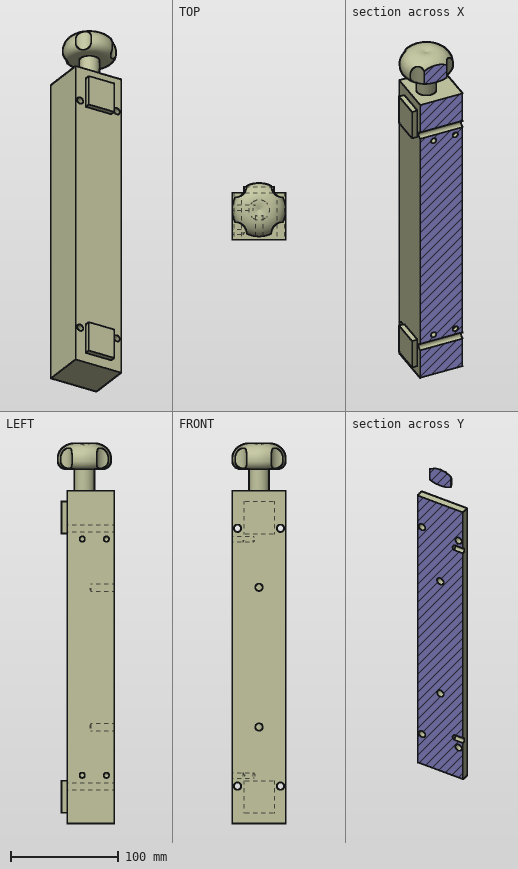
import cadquery as cq
import math

body_width = 50.0
body_depth = 44.0
body_height = 310.0

pad_width = 28.0
pad_height = 30.0
pad_end_distance = 25.0
pad_thickness = 5.5

corner_hole_diameter = 6.6
corner_hole_spacing = 40.0
corner_hole_end_distance = 35.0

centre_hole_diameter = 6.8
centre_hole_end_distance = 90.0

side_hole_diameter = 5.0
side_hole_end_distance = 45.0
spindle_side_hole_y = 30.0
drilled_side_hole_y = 7.5
drilled_side_hole_depth = 10.0
drill_point_angle = 118.0

knob_axis_y = 28.0
spindle_diameter = 12.0
stem_diameter = 19.0
knob_diameter = 50.0
knob_top_z = 354.41
knob_base_z = 330.0
rim_top_z = 340.2
crest_radius = 8.3
rim_band_height = 2.4

flute_count = 4
first_flute_angle = 45.0
flute_radius = 10.7
flute_axis_distance = 31.4

to_right = (1, 0, 0)
to_back = (0, 1, 0)
up = (0, 0, 1)


def at_both_ends(end_distance):
    """Heights at one distance from the bottom and from the top of the body."""
    return (end_distance, body_height - end_distance)


def cylinder(diameter, length, start, direction):
    return cq.Workplane(cq.Solid.makeCylinder(diameter / 2, length, cq.Vector(*start), cq.Vector(*direction)))


def make_body():
    return cq.Workplane("XY").box(body_width, body_depth, body_height, centered=(True, False, False))


def add_pads(part):
    for z in at_both_ends(pad_end_distance):
        pad = cq.Workplane("XY", origin=(0, body_depth + pad_thickness / 2, z))
        part = part.union(pad.box(pad_width, pad_thickness, pad_height))
    return part


def make_spindle():
    return cylinder(spindle_diameter, body_height, (0, knob_axis_y, 0), up)


def cut_corner_holes(part):
    for z in at_both_ends(corner_hole_end_distance):
        for x in (-corner_hole_spacing / 2, corner_hole_spacing / 2):
            part = part.cut(cylinder(corner_hole_diameter, body_depth, (x, 0, z), to_back))
    return part


def cut_spindle_holes(part):
    """Holes from the front and from the -X side that stop on the round spindle surface."""
    spindle = make_spindle()
    for z in at_both_ends(centre_hole_end_distance):
        hole = cylinder(centre_hole_diameter, knob_axis_y, (0, 0, z), to_back)
        part = part.cut(hole.cut(spindle))
    for z in at_both_ends(side_hole_end_distance):
        hole = cylinder(side_hole_diameter, body_width / 2, (-body_width / 2, spindle_side_hole_y, z), to_right)
        part = part.cut(hole.cut(spindle))
    return part


def cut_drilled_side_holes(part):
    """Blind holes in the -X side with a conical drill point."""
    radius = side_hole_diameter / 2
    point_length = radius / math.tan(math.radians(drill_point_angle / 2))
    for z in at_both_ends(side_hole_end_distance):
        start = (-body_width / 2, drilled_side_hole_y, z)
        point_start = cq.Vector(start[0] + drilled_side_hole_depth, drilled_side_hole_y, z)
        point = cq.Solid.makeCone(radius, 0, point_length, point_start, cq.Vector(*to_right))
        hole = cylinder(side_hole_diameter, drilled_side_hole_depth, start, to_right)
        part = part.cut(hole).cut(cq.Workplane(point))
    return part


def make_knob():
    """Revolved mushroom: rounded underside, short cylindrical rim, crown dimpled at its centre."""
    rim_radius = knob_diameter / 2
    crown_half_width = rim_radius - crest_radius
    crown_height = knob_top_z - rim_top_z
    rim_bottom_z = rim_top_z - rim_band_height
    underside_radius = rim_bottom_z - knob_base_z
    underside_centre_r = rim_radius - underside_radius
    underside_mid = (
        underside_centre_r + underside_radius * math.sin(math.pi / 4),
        rim_bottom_z - underside_radius * math.cos(math.pi / 4),
    )
    axis_angle = math.degrees(math.acos(-crest_radius / crown_half_width))
    profile = (
        cq.Workplane("XZ")
        .moveTo(0, knob_base_z)
        .lineTo(underside_centre_r, knob_base_z)
        .threePointArc(underside_mid, (rim_radius, rim_bottom_z))
        .lineTo(rim_radius, rim_top_z)
        .ellipseArc(crown_half_width, crown_height, 0, axis_angle)
        .close()
    )
    knob = profile.revolve(360, (0, 0, 0), (0, 1, 0))
    flutes = (
        cq.Workplane("XY", origin=(0, 0, knob_base_z))
        .polarArray(flute_axis_distance, first_flute_angle, 360, flute_count)
        .circle(flute_radius)
        .extrude(knob_top_z - knob_base_z)
    )
    return knob.cut(flutes).translate((0, knob_axis_y, 0))


def make_stem():
    return cylinder(stem_diameter, knob_base_z - body_height, (0, knob_axis_y, body_height), up)


result = make_body()
result = add_pads(result)
result = cut_corner_holes(result)
result = cut_spindle_holes(result)
result = cut_drilled_side_holes(result)
result = result.union(make_stem()).union(make_knob())